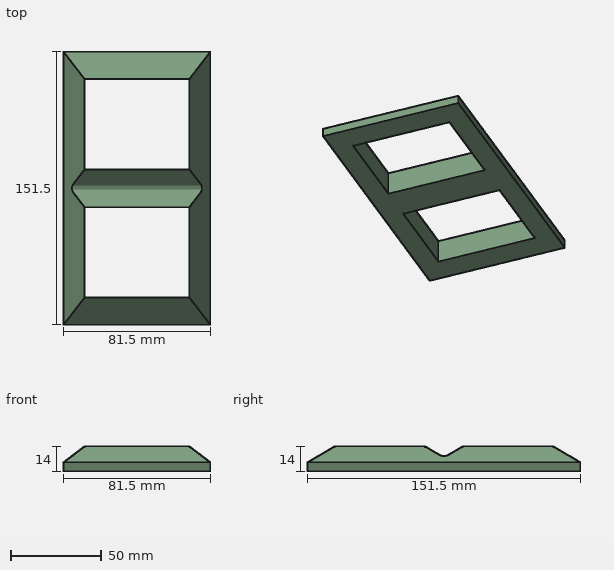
import cadquery as cq
import math

width = 81.5
length = 151.5
height = 14.0
rim_height = 5.0

window_width = 58.0
window_length = 50.0
crossbar_width = 21.0
window_offset = (window_length + crossbar_width) / 2
ridge_length = 2 * window_length + crossbar_width

groove_radius = 5.0
bevel_rise = height - rim_height
bevel_run = (length - ridge_length) / 2
slope_angle = math.atan2(bevel_rise, bevel_run)
groove_depth = crossbar_width / 2 * math.tan(slope_angle)


def bevelled_block():
    """Rectangular base with bevels rising to the window outline."""
    base = cq.Workplane("XY").box(width, length, rim_height, centered=(True, True, False))
    bevel = (
        cq.Workplane("XY", origin=(0, 0, rim_height))
        .rect(width, length)
        .workplane(offset=bevel_rise)
        .rect(window_width, ridge_length)
        .loft(ruled=True)
    )
    return base.union(bevel)


def windows():
    return (
        cq.Workplane("XY")
        .pushPoints([(0, -window_offset), (0, window_offset)])
        .rect(window_width, window_length)
        .extrude(height)
    )


def crossbar_groove():
    """V groove along X with a rounded bottom."""
    half_width = crossbar_width / 2
    return (
        cq.Workplane("YZ", origin=(-width / 2, 0, 0))
        .moveTo(-half_width, height)
        .lineTo(0, height - groove_depth)
        .lineTo(half_width, height)
        .close()
        .extrude(width)
        .edges("<Z")
        .fillet(groove_radius)
    )


result = bevelled_block().cut(windows()).cut(crossbar_groove())